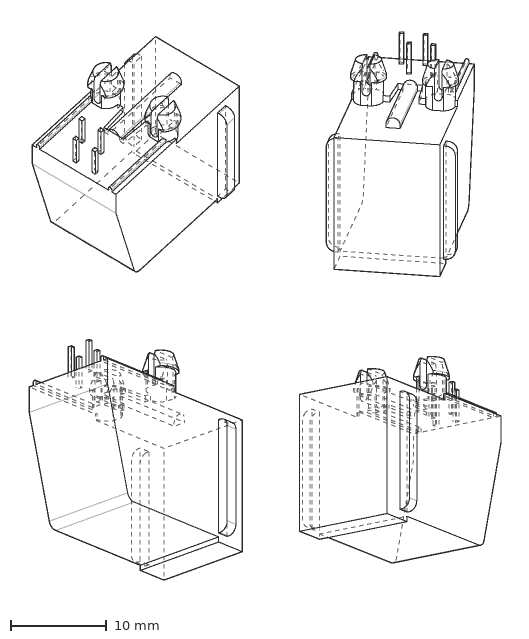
import cadquery as cq
import math

BODY_WIDTH = 11.25
BODY_LENGTH = 20.6
REAR_TOP = 14.95
FRONT_TOP = 15.64
STEP_Y = 10.11
COLLAR_Y = 16.97
COLLAR_DROP = 0.58
SLOPE_TOP = 12.73
SLOPE_ANGLE = 15.0
NOSE_RADIUS = 1.0

EAR_SPAN = 13.72
EAR_THICKNESS = 1.32
EAR_BOTTOM = 1.03
EAR_TOP = 13.88
EAR_RADIUS = 1.03

NOTCH_FRONT_Y = 6.63
NOTCH_FRONT_WIDTH = 2.64
NOTCH_REAR_WIDTH = 3.1
RIB_WIDTH = 1.5
RIB_TOP = 16.1

RAIL_X = 4.85
RAIL_WIDTH = 0.43
RAIL_HEIGHT = 0.54

PEG_X = 3.83
PEG_Y = 10.05
PEG_TOP = 19.61
PEG_DEPTH = 2.9
SHANK_RADIUS = 1.57
BARB_BOTTOM = 17.61
BARB_CONE_BOTTOM = 17.9
BARB_RADIUS = 1.9
BARB_TIP_RADIUS = 1.35
SLIT_WIDTH = 0.82
SLIT_BOTTOM = 16.07

PIN_SIZE = 0.45
PIN_TOP = 19.08
PIN_PITCH = 1.28
PIN_COUNT = 4
PIN_FRONT_ROW_Y = 1.11
PIN_REAR_ROW_Y = 3.69


def block(x_size, y_start, y_end, z_start, z_end):
    """Box centred on X = 0 between the given Y and Z limits."""
    return cq.Workplane("XY").box(
        x_size, y_end - y_start, z_end - z_start, centered=(True, False, False)
    ).translate((0, y_start, z_start))


def round_backed_bar(x_center, width, y_start, y_end, z_start, z_top):
    """Bar along Y with straight sides and a half-round top."""
    half = width / 2
    side_top = z_top - half
    return (
        cq.Workplane("XZ", origin=(x_center, y_start, 0))
        .moveTo(-half, z_start)
        .lineTo(half, z_start)
        .lineTo(half, side_top)
        .threePointArc((0, z_top), (-half, side_top))
        .close()
        .extrude(y_start - y_end)
    )


def make_shell():
    """Side profile of the housing, carried across its whole width."""
    nose_y = (SLOPE_TOP - COLLAR_DROP) * math.tan(math.radians(SLOPE_ANGLE))
    profile = [
        (0, FRONT_TOP),
        (0, SLOPE_TOP),
        (nose_y, COLLAR_DROP),
        (COLLAR_Y, COLLAR_DROP),
        (COLLAR_Y, 0),
        (BODY_LENGTH, 0),
        (BODY_LENGTH, REAR_TOP),
        (STEP_Y, REAR_TOP),
        (STEP_Y, FRONT_TOP),
    ]
    shell = cq.Workplane("YZ").polyline(profile).close().extrude(BODY_WIDTH / 2, both=True)
    nose_edge = cq.selectors.NearestToPointSelector((0, nose_y, COLLAR_DROP))
    return shell.edges(nose_edge).fillet(NOSE_RADIUS)


def make_ears():
    plate = block(EAR_SPAN, COLLAR_Y, COLLAR_Y + EAR_THICKNESS, EAR_BOTTOM, EAR_TOP)
    return plate.edges("|Y").fillet(EAR_RADIUS)


def make_notch():
    return (
        cq.Workplane("XY", origin=(0, 0, REAR_TOP))
        .polyline([
            (-NOTCH_FRONT_WIDTH / 2, NOTCH_FRONT_Y),
            (NOTCH_FRONT_WIDTH / 2, NOTCH_FRONT_Y),
            (NOTCH_REAR_WIDTH / 2, STEP_Y),
            (-NOTCH_REAR_WIDTH / 2, STEP_Y),
        ])
        .close()
        .extrude(FRONT_TOP - REAR_TOP)
    )


def round_ended_slit():
    """Cutter for the slit that splits a peg, open at the top and round at the bottom."""
    half = SLIT_WIDTH / 2
    return (
        cq.Workplane("XZ")
        .moveTo(-half, PEG_TOP)
        .lineTo(-half, SLIT_BOTTOM + half)
        .threePointArc((0, SLIT_BOTTOM), (half, SLIT_BOTTOM + half))
        .lineTo(half, PEG_TOP)
        .close()
        .extrude(PEG_DEPTH / 2, both=True)
    )


def make_peg(x_center):
    """Snap peg: turned shank and barb, flattened front and rear, split by a round-ended slit."""
    turned = (
        cq.Workplane("XZ")
        .polyline([
            (0, REAR_TOP),
            (SHANK_RADIUS, REAR_TOP),
            (SHANK_RADIUS, BARB_BOTTOM),
            (BARB_RADIUS, BARB_BOTTOM),
            (BARB_RADIUS, BARB_CONE_BOTTOM),
            (BARB_TIP_RADIUS, PEG_TOP),
            (0, PEG_TOP),
        ])
        .close()
        .revolve(360, (0, 0, 0), (0, 1, 0))
    )
    flats = block(2 * BARB_RADIUS, -PEG_DEPTH / 2, PEG_DEPTH / 2, REAR_TOP, PEG_TOP)
    return turned.intersect(flats).cut(round_ended_slit()).translate((x_center, PEG_Y, 0))


def make_housing():
    housing = make_shell().union(make_ears()).cut(make_notch())
    rib = round_backed_bar(0, RIB_WIDTH, NOTCH_FRONT_Y, COLLAR_Y, REAR_TOP, RIB_TOP)
    housing = housing.union(rib)
    rail_top = FRONT_TOP + RAIL_HEIGHT
    for side in (-1, 1):
        rail = round_backed_bar(side * RAIL_X, RAIL_WIDTH, 0, PEG_Y, FRONT_TOP, rail_top)
        housing = housing.union(rail).union(make_peg(side * PEG_X))
    return housing.solids()


def make_pin(index):
    """Contact pin standing on the raised top; even pins are in the rear row."""
    x = (index - (PIN_COUNT - 1) / 2) * PIN_PITCH
    y = PIN_REAR_ROW_Y if index % 2 == 0 else PIN_FRONT_ROW_Y
    pin = block(PIN_SIZE, -PIN_SIZE / 2, PIN_SIZE / 2, FRONT_TOP, PIN_TOP)
    return pin.translate((x, y, 0))


housing = make_housing()
pins = [make_pin(index) for index in range(PIN_COUNT)]

result = cq.Compound.makeCompound([housing.val(), *[pin.val() for pin in pins]])